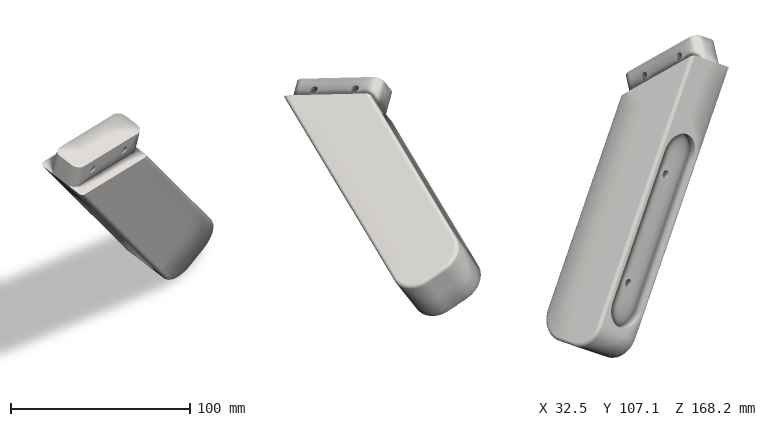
import cadquery as cq
import math

grip_width = 32.5
grip_depth = 42.0
grip_length = 175.0
grip_lean = 25.0
bottom_radius = 15.0
edge_radius = 2.0

top_slope = 15.0
tenon_width = 19.0
tenon_height = 15.0
tenon_corner_radius = 5.0
tenon_hole_spacing = 26.0

recess_length = 114.0
recess_width = 25.0
recess_depth = 5.0
recess_center = 100.0
grip_hole_spacing = 64.0

hole_diameter = 4.5

top_angle = math.radians(90 - grip_lean - top_slope)
top_length = grip_depth / math.sin(top_angle)
top_drop = grip_depth / math.tan(top_angle)


def lean(shape):
    """Tip an upright shape about the front tip so that its foot swings to +Y."""
    return shape.rotate((0, 0, 0), (1, 0, 0), grip_lean)


def make_grip():
    """Upright bar with a sloped top, rounded bottom corners and softened side edges."""
    bar = (
        cq.Workplane("YZ")
        .polyline([(0, 0), (grip_depth, -top_drop), (grip_depth, -grip_length), (0, -grip_length)])
        .close()
        .extrude(grip_width / 2, both=True)
    )
    bar = bar.faces("<Z").edges("|X").fillet(bottom_radius)
    return bar.edges("|Z").fillet(edge_radius)


def make_recess(floor_y, outer_y):
    """Round-ended recess between its floor and the outer face of the upright grip."""
    return (
        cq.Workplane("XZ", origin=(0, floor_y, -recess_center))
        .slot2D(recess_length, recess_width, 90)
        .extrude(floor_y - outer_y)
    )


def make_grip_holes():
    """Holes running front to back through both recess floors."""
    return (
        cq.Workplane("XZ", origin=(0, 0, -recess_center))
        .rarray(1.7, grip_hole_spacing, 1, 2)
        .circle(hole_diameter / 2)
        .extrude(-grip_depth)
    )


def make_tenon():
    """Rounded block with cross holes, standing on the sloped top."""
    block = (
        cq.Workplane("XY", origin=(0, top_length / 2, 0))
        .box(tenon_width, top_length, tenon_height, centered=(True, True, False))
        .edges("|Z")
        .fillet(tenon_corner_radius)
    )
    holes = (
        cq.Workplane("YZ", origin=(0, top_length / 2, tenon_height / 2))
        .rarray(tenon_hole_spacing, 1.7, 2, 1)
        .circle(hole_diameter / 2)
        .extrude(tenon_width, both=True)
    )
    return block.cut(holes).rotate((0, 0, 0), (1, 0, 0), -top_slope)


grip = make_grip()
grip = grip.cut(make_recess(recess_depth, 0))
grip = grip.cut(make_recess(grip_depth - recess_depth, grip_depth))
grip = grip.cut(make_grip_holes())

result = lean(grip).union(make_tenon())